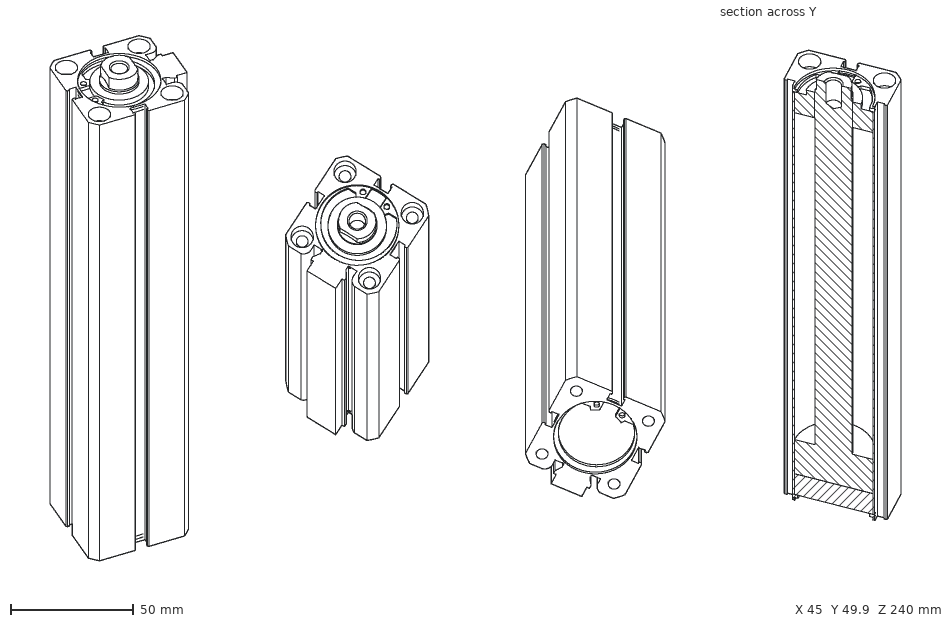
import cadquery as cq
import math


TUBE_HEIGHT = 233.0
TUBE_HALF_WIDTH = 22.5
CORNER_RADIUS = 29.5
BORE_RADIUS = 17.0

SLOT_FLOOR = 18.0
SLOT_HALF_WIDTH = 3.4
MOUTH_HALF_WIDTH = 2.6
LIP_DEPTH = 1.5
LIP_CHAMFER = 0.5

RAIL_TOP = 27.4
RAIL_HALF_WIDTH = 7.0
FLANGE_HALF_WIDTH = 8.2
FLANGE_THICKNESS = 1.5
NECK_HALF_WIDTH = 6.2
NECK_TOP = 18.2
CHANNEL_FLOOR = 16.5
CHANNEL_HALF_WIDTH = 10.3
CHANNEL_ROUND_START = 18.2
CHANNEL_ROUND_WIDTH = 2.6

MOUNT_OFFSET = 16.3
MOUNT_RADIUS = 2.5
COUNTERBORE_RADIUS = 4.5
COUNTERBORE_DEPTH = 7.2

GROOVE_RADIUS = 17.8
GROOVE_INSET = 1.5
RING_THICKNESS = 1.7
RING_BOTTOMS = (GROOVE_INSET, TUBE_HEIGHT - GROOVE_INSET - RING_THICKNESS)
RING_INNER_RADIUS = 15.5
RING_ECCENTRICITY = 1.2
RING_HALF_GAP = 3.5
LUG_INNER_RADIUS = 12.2
LUG_HALF_WIDTH = 8.0
LUG_EDGE = 11.5
LUG_HOLE_X = 5.8
LUG_HOLE_Y = -13.5
LUG_HOLE_RADIUS = 1.2

COVER_THICKNESS = 12.0
COVER_INSET = GROOVE_INSET + RING_THICKNESS
BOSS_RADIUS = 12.0
BOSS_INSET = 0.5

PISTON_THICKNESS = 19.2
ROD_RADIUS = 8.2
ROD_TOP = 240.0
ROD_END_RADIUS = 7.7
SHOULDER_HEIGHT = 0.7
TAPER_START = TUBE_HEIGHT + SHOULDER_HEIGHT
FLAT_OFFSET = 6.5
TAPER_END = TAPER_START + ROD_RADIUS - FLAT_OFFSET
ROD_HOLE_RADIUS = 3.4
ROD_HOLE_DEPTH = 12.0
ROD_HOLE_CHAMFER = 0.7
DRILL_POINT_ANGLE = 118


def cylinder(radius, bottom, top):
    return cq.Workplane("XY").workplane(offset=bottom).circle(radius).extrude(top - bottom)


def sensor_slot():
    """Slot in the -Y side, chamfered at the mouth."""
    lip_inside = -TUBE_HALF_WIDTH + LIP_DEPTH
    chamfer_end = -TUBE_HALF_WIDTH + LIP_CHAMFER
    half = [
        (MOUTH_HALF_WIDTH + LIP_CHAMFER, -TUBE_HALF_WIDTH),
        (MOUTH_HALF_WIDTH, chamfer_end),
        (MOUTH_HALF_WIDTH, lip_inside),
        (SLOT_HALF_WIDTH, lip_inside),
        (SLOT_HALF_WIDTH, -SLOT_FLOOR),
    ]
    other_half = [(-x, y) for x, y in reversed(half)]
    return cq.Workplane("XY").polyline(half + other_half).close().extrude(TUBE_HEIGHT)


def rail_channel():
    """Empty space on the +X side of the rail."""
    round_end = CHANNEL_HALF_WIDTH + CHANNEL_ROUND_WIDTH
    round_middle = (
        CHANNEL_HALF_WIDTH + CHANNEL_ROUND_WIDTH * (1 - math.sqrt(0.5)),
        CHANNEL_ROUND_START + (TUBE_HALF_WIDTH - CHANNEL_ROUND_START) * math.sqrt(0.5),
    )
    return (
        cq.Workplane("XY")
        .moveTo(NECK_HALF_WIDTH, CHANNEL_FLOOR)
        .lineTo(CHANNEL_HALF_WIDTH, CHANNEL_FLOOR)
        .lineTo(CHANNEL_HALF_WIDTH, CHANNEL_ROUND_START)
        .threePointArc(round_middle, (round_end, TUBE_HALF_WIDTH))
        .lineTo(FLANGE_HALF_WIDTH, TUBE_HALF_WIDTH)
        .lineTo(FLANGE_HALF_WIDTH, TUBE_HALF_WIDTH - FLANGE_THICKNESS)
        .lineTo(NECK_HALF_WIDTH, NECK_TOP)
        .close()
        .extrude(TUBE_HEIGHT)
    )


def ring_groove(bottom):
    return cylinder(GROOVE_RADIUS, bottom, bottom + RING_THICKNESS)


def make_tube():
    side = 2 * TUBE_HALF_WIDTH
    tube = cq.Workplane("XY").rect(side, side).extrude(TUBE_HEIGHT)
    tube = tube.intersect(cylinder(CORNER_RADIUS, 0, TUBE_HEIGHT))

    rail_height = RAIL_TOP - CHANNEL_FLOOR
    rail = (
        cq.Workplane("XY")
        .center(0, CHANNEL_FLOOR + rail_height / 2)
        .rect(2 * RAIL_HALF_WIDTH, rail_height)
        .extrude(TUBE_HEIGHT)
    )
    channel = rail_channel()
    tube = tube.union(rail).cut(channel).cut(channel.mirror("YZ"))

    for angle in (-90, 0, 90):
        tube = tube.cut(sensor_slot().rotate((0, 0, 0), (0, 0, 1), angle))

    tube = (
        tube.faces(">Z")
        .workplane(origin=(0, 0, TUBE_HEIGHT))
        .rect(2 * MOUNT_OFFSET, 2 * MOUNT_OFFSET, forConstruction=True)
        .vertices()
        .cboreHole(2 * MOUNT_RADIUS, 2 * COUNTERBORE_RADIUS, COUNTERBORE_DEPTH)
    )

    tube = tube.cut(cylinder(BORE_RADIUS, 0, TUBE_HEIGHT))
    for bottom in RING_BOTTOMS:
        tube = tube.cut(ring_groove(bottom))
    return tube


def make_retaining_ring(bottom):
    """Eccentric internal ring with two drilled lugs beside the gap at -Y."""
    base = cq.Workplane("XY").workplane(offset=bottom)
    disc = base.circle(GROOVE_RADIUS).extrude(RING_THICKNESS)
    opening = base.center(0, -RING_ECCENTRICITY).circle(RING_INNER_RADIUS).extrude(RING_THICKNESS)

    lug_edge_end = math.sqrt(GROOVE_RADIUS**2 - LUG_EDGE**2)
    lugs = (
        base.polyline([
            (0, 0),
            (LUG_HALF_WIDTH, -LUG_EDGE),
            (lug_edge_end, -LUG_EDGE),
            (lug_edge_end, -GROOVE_RADIUS),
            (-lug_edge_end, -GROOVE_RADIUS),
            (-lug_edge_end, -LUG_EDGE),
            (-LUG_HALF_WIDTH, -LUG_EDGE),
        ])
        .close()
        .extrude(RING_THICKNESS)
        .intersect(disc)
        .cut(base.circle(LUG_INNER_RADIUS).extrude(RING_THICKNESS))
    )
    gap = (
        base.center(0, -GROOVE_RADIUS / 2)
        .rect(2 * RING_HALF_GAP, GROOVE_RADIUS)
        .extrude(RING_THICKNESS)
    )
    holes = (
        base.pushPoints([(-LUG_HOLE_X, LUG_HOLE_Y), (LUG_HOLE_X, LUG_HOLE_Y)])
        .circle(LUG_HOLE_RADIUS)
        .extrude(RING_THICKNESS)
    )
    return disc.cut(opening).union(lugs).cut(gap).cut(holes)


def make_head_cover():
    """Rod-side cover with a boss inside the retaining ring."""
    plate_top = TUBE_HEIGHT - COVER_INSET
    plate_bottom = plate_top - COVER_THICKNESS
    boss_top = TUBE_HEIGHT - BOSS_INSET
    plate = cylinder(BORE_RADIUS, plate_bottom, plate_top)
    boss = cylinder(BOSS_RADIUS, plate_bottom, boss_top)
    return plate.union(boss).cut(cylinder(ROD_RADIUS, plate_bottom, boss_top))


def make_rear_cover():
    return cylinder(BORE_RADIUS, COVER_INSET, COVER_INSET + COVER_THICKNESS)


def make_piston_rod():
    """Piston resting on the rear cover, with the rod turned in one piece with it."""
    piston_bottom = COVER_INSET + COVER_THICKNESS
    piston_top = piston_bottom + PISTON_THICKNESS
    body = (
        cq.Workplane("XZ")
        .polyline([
            (0, piston_bottom),
            (BORE_RADIUS, piston_bottom),
            (BORE_RADIUS, piston_top),
            (ROD_RADIUS, piston_top),
            (ROD_RADIUS, TAPER_START),
            (FLAT_OFFSET, TAPER_END),
            (0, TAPER_END),
        ])
        .close()
        .revolve(360, (0, 0, 0), (0, 1, 0))
    )
    rod_end = cylinder(ROD_END_RADIUS, TAPER_START, ROD_TOP).intersect(
        cq.Workplane("XY").box(2 * ROD_END_RADIUS, 2 * FLAT_OFFSET, 2 * ROD_TOP)
    )
    return body.union(rod_end).cut(make_rod_hole())


def make_rod_hole():
    """Blind hole with a chamfered mouth and a drill-point bottom."""
    hole_bottom = ROD_TOP - ROD_HOLE_DEPTH
    point_depth = ROD_HOLE_RADIUS / math.tan(math.radians(DRILL_POINT_ANGLE / 2))
    return (
        cq.Workplane("XZ")
        .polyline([
            (0, hole_bottom - point_depth),
            (ROD_HOLE_RADIUS, hole_bottom),
            (ROD_HOLE_RADIUS, ROD_TOP - ROD_HOLE_CHAMFER),
            (ROD_HOLE_RADIUS + ROD_HOLE_CHAMFER, ROD_TOP),
            (0, ROD_TOP),
        ])
        .close()
        .revolve(360, (0, 0, 0), (0, 1, 0))
    )


tube = make_tube()
retaining_rings = [make_retaining_ring(bottom) for bottom in RING_BOTTOMS]
head_cover = make_head_cover()
rear_cover = make_rear_cover()
piston_rod = make_piston_rod()

result = cq.Compound.makeCompound([
    tube.val(),
    head_cover.val(),
    rear_cover.val(),
    piston_rod.val(),
    *[ring.val() for ring in retaining_rings],
])